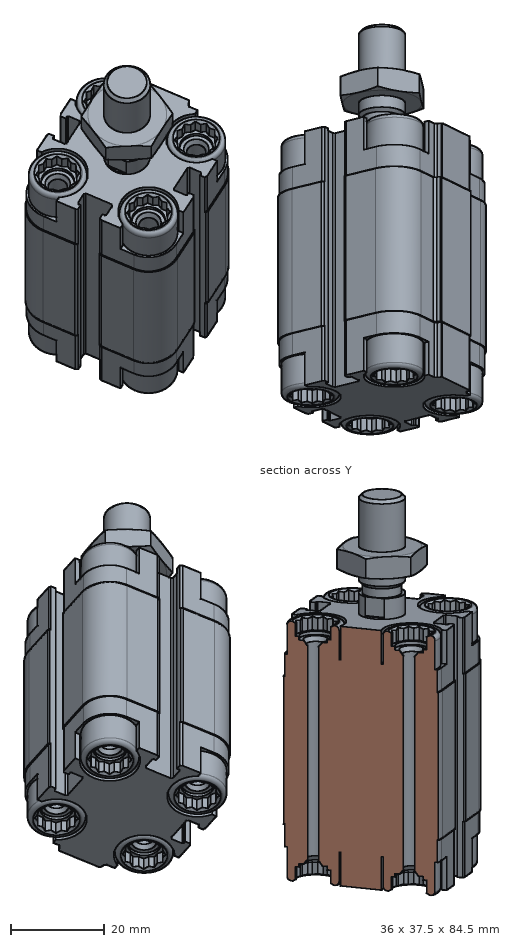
import cadquery as cq
import math


housing_height = 58.0
cap_height = 12.5
barrel_height = housing_height - 2 * cap_height
barrel_width = 36.0
cap_inset = 0.25
screw_offset = 11.0

slot_opening = 5.25
slot_mouth_width = 6.4
slot_mouth_depth = 0.25
slot_width = 6.9
slot_floor_offset = 13.0
lip_inner_offset = 16.25
lip_chamfer = 0.25
floor_chamfer = 0.35

rail_height = 1.5
rail_flare = 0.5
rail_lean = 0.25
rail_edge_chamfer = 0.2
barrel_rail_foot = 5.85
cap_rail_left_foot = 5.75
cap_rail_right_foot = 5.25

pocket_depth = 7.5
pocket_wall = 7.75
pocket_diameter = 13.0
head_diameter = 12.5
head_edge_radius = 1.0

countersink_diameter = 10.0
countersink_floor_diameter = 8.1
countersink_slope = 30.0
socket_across_flats = 8.0
socket_depth = 3.25
recess_diameter = 7.2
recess_depth = 4.0
bore_mouth_diameter = 5.4
bore_mouth_slope = 60.0
bore_diameter = 4.13

rod_bottom = housing_height - cap_height
rod_top = 84.5
rod_diameter = 10.0
neck_diameter = 8.47
shoulder_height = 62.6
thread_bottom = 64.6
flats_across = 9.0
flats_bottom = 58.4
thread_chamfer = (rod_diameter - neck_diameter) / 2

nut_across_flats = 17.0
nut_thickness = 5.0
nut_bottom = 68.0
nut_face_diameter = 16.9
nut_chamfer_angle = 15.0

barrel_half = barrel_width / 2
cap_half = barrel_half - cap_inset
screw_places = [(x, y) for x in (-screw_offset, screw_offset) for y in (-screw_offset, screw_offset)]


def rounded_square(half, bottom, height):
    """Square prism whose rounded corners are centred on the screw axes."""
    block = cq.Workplane("XY", origin=(0, 0, bottom)).rect(2 * half, 2 * half).extrude(height)
    return block.edges("|Z").fillet(half - screw_offset)


def rail(half, left_foot, right_foot, bottom, height):
    """Rail on a section of the given half width, from foot flares to flat top."""
    flare_top = half + rail_flare
    rail_top = half + rail_height
    left_top = -left_foot + rail_lean
    right_top = right_foot - rail_lean
    outline = [
        (-left_foot - rail_flare, slot_floor_offset),
        (right_foot + rail_flare, slot_floor_offset),
        (right_foot + rail_flare, half),
        (right_foot, flare_top),
        (right_top, rail_top - rail_edge_chamfer),
        (right_top - rail_edge_chamfer, rail_top),
        (left_top + rail_edge_chamfer, rail_top),
        (left_top, rail_top - rail_edge_chamfer),
        (-left_foot, flare_top),
        (-left_foot - rail_flare, half),
    ]
    return cq.Workplane("XY", origin=(0, 0, bottom)).polyline(outline).close().extrude(height)


def sensor_slot(half, bottom, height):
    """T-slot cutter for the -Y side of a section of the given half width."""
    right_side = [
        (slot_width / 2 - floor_chamfer, -slot_floor_offset),
        (slot_width / 2, -slot_floor_offset - floor_chamfer),
        (slot_width / 2, -lip_inner_offset + lip_chamfer),
        (slot_width / 2 - lip_chamfer, -lip_inner_offset),
        (slot_opening / 2, -lip_inner_offset),
        (slot_opening / 2, -half + slot_mouth_depth),
        (slot_mouth_width / 2, -half),
    ]
    left_side = [(-x, y) for x, y in reversed(right_side)]
    plane = cq.Workplane("XY", origin=(0, 0, bottom))
    return plane.polyline(right_side + left_side).close().extrude(height)


def make_section(half, left_foot, right_foot, bottom, height):
    """Length of the housing with its corners, rail and three sensor slots."""
    section = rounded_square(half, bottom, height).union(rail(half, left_foot, right_foot, bottom, height))
    for turn in (-90, 0, 90):
        section = section.cut(sensor_slot(half, bottom, height).rotate((0, 0, 0), (0, 0, 1), turn))
    return section


def corner_pocket():
    """Top pocket around the screw in the +X +Y corner: round inside, open to the outside."""
    floor = housing_height - pocket_depth
    side = barrel_width - pocket_wall
    plane = cq.Workplane("XY", origin=(0, 0, floor))
    open_corner = plane.rect(side, side, centered=False).extrude(pocket_depth)
    open_corner = open_corner.translate((pocket_wall, pocket_wall, 0))
    round_part = plane.center(screw_offset, screw_offset).circle(pocket_diameter / 2).extrude(pocket_depth)
    return open_corner.union(round_part)


def screw_head():
    """Top screw head on the +X +Y screw axis."""
    plane = cq.Workplane("XY", origin=(screw_offset, screw_offset, housing_height - pocket_depth))
    head = plane.circle(head_diameter / 2).extrude(pocket_depth)
    return head.faces(">Z").edges().fillet(head_edge_radius)


def screw_socket():
    """Cutter for the countersink, twelve-point socket, recess and bore mouth of the top head."""
    sink_width = (countersink_diameter - countersink_floor_diameter) / 2
    sink_depth = sink_width * math.tan(math.radians(countersink_slope))
    mouth_width = (bore_mouth_diameter - bore_diameter) / 2
    mouth_depth = mouth_width * math.tan(math.radians(bore_mouth_slope))
    profile = [
        (0, 0),
        (countersink_diameter / 2, 0),
        (countersink_floor_diameter / 2, -sink_depth),
        (recess_diameter / 2, -sink_depth),
        (recess_diameter / 2, -recess_depth),
        (bore_mouth_diameter / 2, -recess_depth),
        (bore_diameter / 2, -recess_depth - mouth_depth),
        (0, -recess_depth - mouth_depth),
    ]
    cutter = cq.Workplane("XZ").polyline(profile).close().revolve(360, (0, 0), (0, 1))
    corner_diameter = socket_across_flats / math.cos(math.pi / 6)
    hexagon = cq.Workplane("XY").polygon(6, corner_diameter).extrude(-socket_depth)
    for turn in (0, 30):
        cutter = cutter.union(hexagon.rotate((0, 0, 0), (0, 0, 1), turn))
    return cutter.translate((screw_offset, screw_offset, housing_height))


def at_every_screw(top_feature):
    """Copies of a top +X +Y feature at all four corners of both end caps."""
    bottom_feature = top_feature.mirror("XY", (0, 0, housing_height / 2))
    copies = []
    for feature in (top_feature, bottom_feature):
        for turn in range(0, 360, 90):
            copies.append(feature.rotate((0, 0, 0), (0, 0, 1), turn))
    return copies


def make_housing():
    body = make_section(barrel_half, barrel_rail_foot, barrel_rail_foot, cap_height, barrel_height)
    for bottom in (0, cap_height + barrel_height):
        body = body.union(make_section(cap_half, cap_rail_left_foot, cap_rail_right_foot, bottom, cap_height))
    body = body.clean()
    for pocket in at_every_screw(corner_pocket()):
        body = body.cut(pocket)
    for head in at_every_screw(screw_head()):
        body = body.union(head)
    for socket in at_every_screw(screw_socket()):
        body = body.cut(socket)
    bores = cq.Workplane("XY").pushPoints(screw_places).circle(bore_diameter / 2).extrude(housing_height)
    top_cap = cq.Workplane("XY", origin=(0, 0, rod_bottom))
    rod_bore = top_cap.circle(rod_diameter / 2).extrude(cap_height)
    return body.cut(bores).cut(rod_bore)


def make_rod():
    rod_radius = rod_diameter / 2
    neck_radius = neck_diameter / 2
    profile = [
        (0, rod_bottom),
        (rod_radius, rod_bottom),
        (rod_radius, shoulder_height),
        (neck_radius, shoulder_height),
        (neck_radius, thread_bottom),
        (rod_radius, thread_bottom + thread_chamfer),
        (rod_radius, rod_top - thread_chamfer),
        (neck_radius, rod_top),
        (0, rod_top),
    ]
    rod = cq.Workplane("XZ").polyline(profile).close().revolve(360, (0, 0), (0, 1))
    flat_depth = (rod_diameter - flats_across) / 2
    flats_height = shoulder_height - flats_bottom
    for side in (-1, 1):
        flat = cq.Workplane("XY", origin=(0, side * (flats_across + flat_depth) / 2, flats_bottom))
        rod = rod.cut(flat.rect(rod_diameter, flat_depth).extrude(flats_height))
    return rod


def make_nut():
    plane = cq.Workplane("XY", origin=(0, 0, nut_bottom))
    corner_diameter = nut_across_flats / math.cos(math.pi / 6)
    hexagon = plane.polygon(6, corner_diameter).extrude(nut_thickness).rotate((0, 0, 0), (0, 0, 1), 30)
    face_radius = nut_face_diameter / 2
    rim_radius = corner_diameter / 2
    drop = (rim_radius - face_radius) * math.tan(math.radians(nut_chamfer_angle))
    nut_top = nut_bottom + nut_thickness
    profile = [
        (0, nut_bottom),
        (face_radius, nut_bottom),
        (rim_radius, nut_bottom + drop),
        (rim_radius, nut_top - drop),
        (face_radius, nut_top),
        (0, nut_top),
    ]
    chamfered_disc = cq.Workplane("XZ").polyline(profile).close().revolve(360, (0, 0), (0, 1))
    return hexagon.intersect(chamfered_disc).cut(plane.circle(rod_diameter / 2).extrude(nut_thickness))


housing = make_housing()
rod = make_rod()
nut = make_nut()

result = cq.Compound.makeCompound([housing.val(), rod.val(), nut.val()])